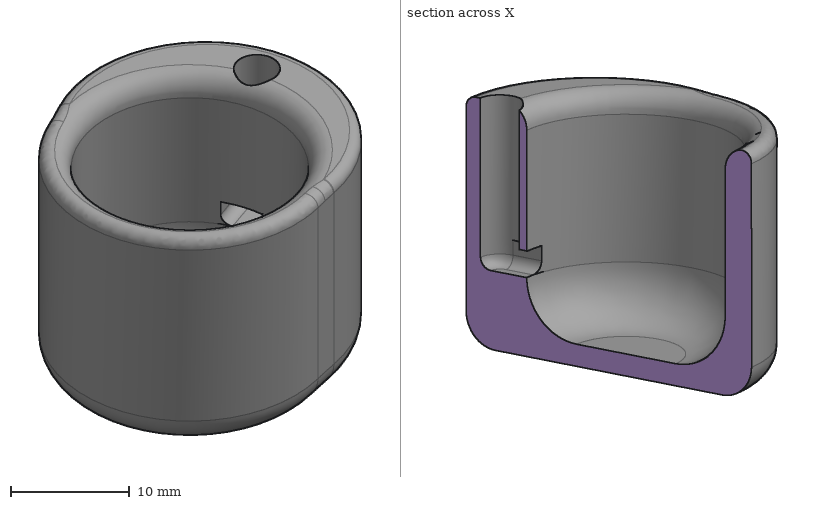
import cadquery as cq
import math

height = 22.0
length = 28.87
front_radius = 12.7
back_radius = 13.08
back_center_y = length - front_radius - back_radius
waist_blend_radius = 50.0
bottom_round = 3.0
top_round = 1.0

cavity_radius = 20.0 / 2
cavity_floor_z = 2.0
cavity_bottom_round = cavity_radius / 2
rim_round = 2.0

hole_diameter = 3.9
hole_radius = hole_diameter / 2
hole_y = 12.73
hole_floor_z = cavity_floor_z + cavity_bottom_round
hole_bottom_round = 1.0
passage_height = 2.3
passage_end_y = 8.65


def make_body():
    """Extrude the two lobes, joined by a concave arc tangent to both on each side."""
    front_reach = front_radius + waist_blend_radius
    back_reach = back_radius + waist_blend_radius
    blend_y = (front_reach**2 - back_reach**2 + back_center_y**2) / (2 * back_center_y)
    blend_x = math.sqrt(front_reach**2 - blend_y**2)

    front_x = blend_x * front_radius / front_reach
    front_y = blend_y * front_radius / front_reach
    back_x = blend_x * back_radius / back_reach
    back_y = back_center_y + (blend_y - back_center_y) * back_radius / back_reach

    toward_x = (front_x + back_x) / 2 - blend_x
    toward_y = (front_y + back_y) / 2 - blend_y
    toward_length = math.hypot(toward_x, toward_y)
    middle_x = blend_x + toward_x * waist_blend_radius / toward_length
    middle_y = blend_y + toward_y * waist_blend_radius / toward_length

    outline = (
        cq.Workplane("XY")
        .moveTo(front_x, front_y)
        .threePointArc((middle_x, middle_y), (back_x, back_y))
        .threePointArc((0, back_center_y + back_radius), (-back_x, back_y))
        .threePointArc((-middle_x, middle_y), (-front_x, front_y))
        .threePointArc((0, -front_radius), (front_x, front_y))
        .close()
    )
    return outline.extrude(height).faces("<Z").edges().fillet(bottom_round)


def make_cavity():
    """Cup-shaped cavity with a rounded bottom edge."""
    cavity = cq.Workplane("XY").workplane(offset=cavity_floor_z)
    cavity = cavity.circle(cavity_radius).extrude(height - cavity_floor_z)
    return cavity.faces("<Z").edges().fillet(cavity_bottom_round)


def make_hole():
    """Vertical hole plus the round-ended passage from its foot into the cavity."""
    base = cq.Workplane("XY").workplane(offset=hole_floor_z)
    passage = (
        base.moveTo(-hole_radius, passage_end_y)
        .lineTo(-hole_radius, hole_y)
        .threePointArc((0, hole_y + hole_radius), (hole_radius, hole_y))
        .lineTo(hole_radius, passage_end_y)
        .close()
        .extrude(passage_height)
    )
    passage = passage.faces("<Z").edges("not <Y").fillet(hole_bottom_round)

    shaft_bottom_z = hole_floor_z + hole_bottom_round
    shaft = cq.Workplane("XY").workplane(offset=shaft_bottom_z).center(0, hole_y)
    shaft = shaft.circle(hole_radius).extrude(height - shaft_bottom_z)
    return passage.union(shaft)



def round_top_edge(body, size_rank, radius):
    """Round the top edges whose radius has the given rank, counted from the smallest."""
    return body.faces(">Z").edges(cq.selectors.RadiusNthSelector(size_rank)).fillet(radius)


CAVITY_EDGE = 0
BACK_EDGE = 2

body = make_body().cut(make_cavity())
body = round_top_edge(body, CAVITY_EDGE, rim_round)
body = round_top_edge(body, BACK_EDGE, top_round)

result = body.cut(make_hole())